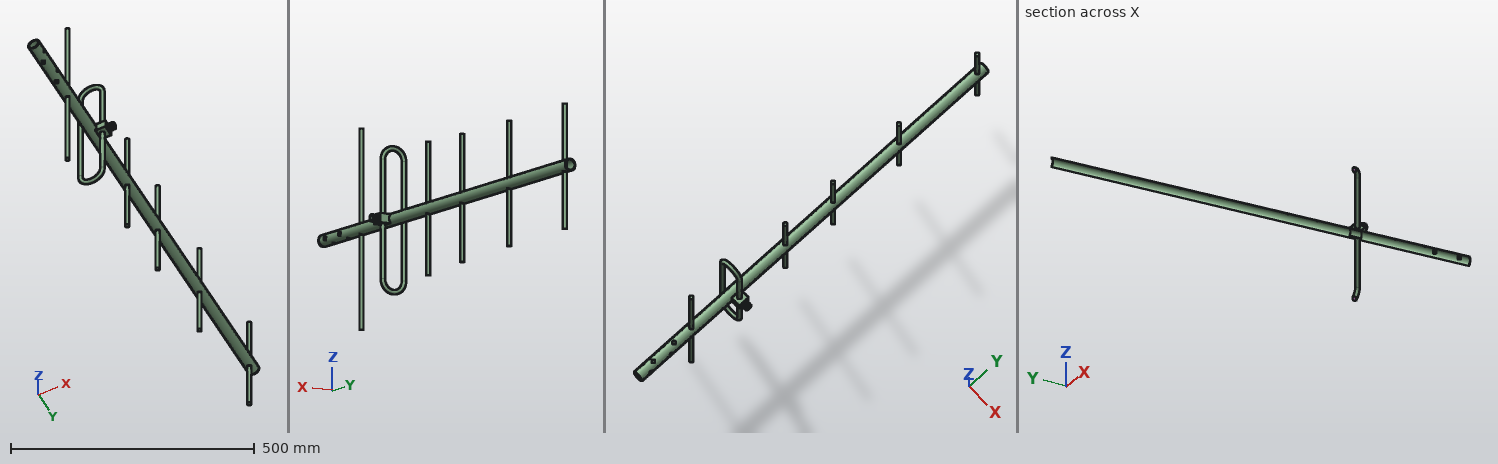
import cadquery as cq


boom_length = 975.0
boom_diameter = 25.0
boom_wall = 2.0
boom_radius = boom_diameter / 2

mount_hole_diameter = 8.0
vertical_hole_positions = [-386.0, -445.0]
horizontal_hole_positions = [-405.0, -462.0]

rod_diameter = 9.0
director_rods = [(467.0, 261.0), (247.0, 261.0), (61.0, 267.0), (-73.0, 279.0)]
reflector_rod = (-337.0, 420.0)
rods = director_rods + [reflector_rod]

dipole_y = -220.0
dipole_bar_diameter = 10.0
dipole_height = 310.0
free_leg_x = -31.0
fed_leg_x = 19.5
bend_radius = (fed_leg_x - free_leg_x) / 2
bend_center_x = (fed_leg_x + free_leg_x) / 2
leg_half_length = (dipole_height - dipole_bar_diameter) / 2 - bend_radius

block_start_x = 10.0
block_end_x = 33.0
block_width = 26.0
block_height = 19.5
collar_diameter = 18.0
collar_thickness = 3.0
connector_end_x = 48.0
thread_diameter = 16.0
thread_depth = 1.0
thread_ridges = 6


def cylinder_along(direction, start, diameter, length):
    """Solid cylinder from a start point along a direction."""
    solid = cq.Solid.makeCylinder(diameter / 2, length, cq.Vector(*start), cq.Vector(*direction))
    return cq.Workplane(solid)


def vertical_cylinder(y, diameter, length):
    """Cylinder along Z, centred on the boom axis."""
    return cylinder_along((0, 0, 1), (0, y, -length / 2), diameter, length)


def make_boom():
    """Tube with a fitting hole for each rod and crossed mounting holes."""
    boom_start = (0, -boom_length / 2, 0)
    bore_diameter = boom_diameter - 2 * boom_wall
    boom = cylinder_along((0, 1, 0), boom_start, boom_diameter, boom_length)
    boom = boom.cut(cylinder_along((0, 1, 0), boom_start, bore_diameter, boom_length))
    for y, length in rods:
        boom = boom.cut(vertical_cylinder(y, rod_diameter, length))
    for y in vertical_hole_positions:
        boom = boom.cut(vertical_cylinder(y, mount_hole_diameter, boom_diameter))
    for y in horizontal_hole_positions:
        hole_start = (-boom_radius, y, 0)
        boom = boom.cut(cylinder_along((1, 0, 0), hole_start, mount_hole_diameter, boom_diameter))
    return boom


def make_rod(y, length):
    """Plain round rod, centred in the boom."""
    return vertical_cylinder(y, rod_diameter, length)


def make_dipole_loop():
    """Round bar swept along two straight legs and two half-circle bends."""
    path = (
        cq.Workplane("XZ", origin=(0, dipole_y, 0))
        .moveTo(free_leg_x, -leg_half_length)
        .lineTo(free_leg_x, leg_half_length)
        .threePointArc((bend_center_x, leg_half_length + bend_radius), (fed_leg_x, leg_half_length))
        .lineTo(fed_leg_x, -leg_half_length)
        .threePointArc((bend_center_x, -leg_half_length - bend_radius), (free_leg_x, -leg_half_length))
    )
    return (
        cq.Workplane("XY", origin=(free_leg_x, dipole_y, -leg_half_length))
        .circle(dipole_bar_diameter / 2)
        .sweep(path)
    )


def make_feed_block():
    """Rectangular block, hollowed where the boom passes."""
    block = cq.Workplane("XY").box(block_end_x - block_start_x, block_width, block_height)
    block = block.translate(((block_start_x + block_end_x) / 2, dipole_y, 0))
    boom_space = cylinder_along((0, 1, 0), (0, dipole_y - block_width, 0), boom_diameter, 2 * block_width)
    return block.cut(boom_space)


def make_connector():
    """Collar and threaded stub; the thread is a row of V-shaped ridges turned about X."""
    thread_start_x = block_end_x + collar_thickness
    crest_radius = thread_diameter / 2
    root_radius = crest_radius - thread_depth
    thread_pitch = (connector_end_x - thread_start_x) / thread_ridges
    collar_radius = collar_diameter / 2

    profile = (
        cq.Workplane("XY")
        .moveTo(block_end_x, 0)
        .lineTo(block_end_x, collar_radius)
        .lineTo(thread_start_x, collar_radius)
        .lineTo(thread_start_x, root_radius)
    )
    for ridge in range(thread_ridges):
        ridge_start_x = thread_start_x + ridge * thread_pitch
        profile = profile.lineTo(ridge_start_x + thread_pitch / 2, crest_radius)
        profile = profile.lineTo(ridge_start_x + thread_pitch, root_radius)
    profile = profile.lineTo(connector_end_x, 0).close()
    return profile.revolve(360, (0, 0, 0), (1, 0, 0)).translate((0, dipole_y, 0))


def make_driven_element():
    """Dipole loop, feed block and connector as one body."""
    return make_dipole_loop().union(make_feed_block()).union(make_connector())


boom = make_boom()
driven_element = make_driven_element()
rod_bodies = [make_rod(y, length) for y, length in rods]

result = cq.Compound.makeCompound(
    [boom.val(), driven_element.val(), *[rod.val() for rod in rod_bodies]]
)